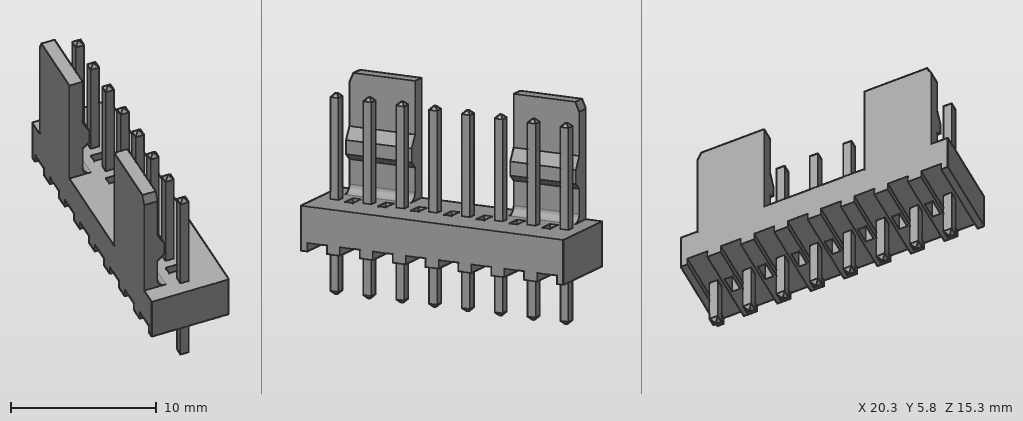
import cadquery as cq


BASE_LENGTH = 20.32
BASE_DEPTH = 5.8
BASE_HEIGHT = 3.2
CORNER_CHAMFER = 0.05
FRONT_Y = -BASE_DEPTH / 2

PIN_COUNT = 8
PITCH = BASE_LENGTH / PIN_COUNT
PIN_WIDTH = 0.63
PIN_TIP_WIDTH = 0.12
PIN_TIP_HEIGHT = 0.26
PIN_BOTTOM_Z = -3.58
PIN_TOP_Z = BASE_HEIGHT + 7.48

CHANNEL_WIDTH = 1.52
CHANNEL_HEIGHT = 0.6
SLOT_WIDTH = 0.6
SLOT_DEPTH = 1.2

LATCH_WIDTH = 2 * PITCH
LATCH_HEIGHT = 8.5
LATCH_THICKNESS = 1.0
LATCH_ROOT_RADIUS = 0.6
LATCH_CORNER_WIDTH = 0.3
LATCH_CORNER_HEIGHT = 0.67

RIDGE_DEPTH = 0.5
RIDGE_START = 2.35
RIDGE_CREST_START = 2.82
RIDGE_CREST_END = 3.82
RIDGE_END = 4.7

FIRST_PIN_X = -(PIN_COUNT - 1) * PITCH / 2
PIN_POSITIONS = [(FIRST_PIN_X + i * PITCH, 0) for i in range(PIN_COUNT)]
SLOT_POSITIONS = [(x + PITCH / 2, 0) for x, _ in PIN_POSITIONS[:-1]]


def make_base():
    """Block with chamfered upright edges, cross channels below and slots right through."""
    base = (
        cq.Workplane("XY")
        .box(BASE_LENGTH, BASE_DEPTH, BASE_HEIGHT, centered=(True, True, False))
        .edges("|Z")
        .chamfer(CORNER_CHAMFER)
    )
    channels = (
        cq.Workplane("XY")
        .pushPoints(PIN_POSITIONS)
        .rect(CHANNEL_WIDTH, BASE_DEPTH)
        .extrude(CHANNEL_HEIGHT)
    )
    slots = (
        cq.Workplane("XY")
        .pushPoints(SLOT_POSITIONS)
        .rect(SLOT_WIDTH, SLOT_DEPTH)
        .extrude(BASE_HEIGHT)
    )
    return base.cut(channels).cut(slots)


def make_latch():
    """Left latch wall with a snap ridge, a filleted root and a clipped outer top corner."""
    left_x = FIRST_PIN_X
    inner_y = FRONT_Y + LATCH_THICKNESS
    crest_y = inner_y + RIDGE_DEPTH
    base_top = BASE_HEIGHT
    latch_top = base_top + LATCH_HEIGHT

    wall = (
        cq.Workplane("YZ", origin=(left_x, 0, 0))
        .moveTo(FRONT_Y, base_top)
        .lineTo(inner_y + LATCH_ROOT_RADIUS, base_top)
        .radiusArc((inner_y, base_top + LATCH_ROOT_RADIUS), LATCH_ROOT_RADIUS)
        .lineTo(inner_y, base_top + RIDGE_START)
        .lineTo(crest_y, base_top + RIDGE_CREST_START)
        .lineTo(crest_y, base_top + RIDGE_CREST_END)
        .lineTo(inner_y, base_top + RIDGE_END)
        .lineTo(inner_y, latch_top)
        .lineTo(FRONT_Y, latch_top)
        .close()
        .extrude(LATCH_WIDTH)
    )
    clipped_corner = (
        cq.Workplane("XZ", origin=(0, FRONT_Y, 0))
        .moveTo(left_x, latch_top)
        .lineTo(left_x + LATCH_CORNER_WIDTH, latch_top)
        .lineTo(left_x, latch_top - LATCH_CORNER_HEIGHT)
        .close()
        .extrude(-LATCH_THICKNESS)
    )
    return wall.cut(clipped_corner)


def make_pin():
    """Square pin on the Z axis, tapered to a small flat at both ends."""
    lower_shoulder = PIN_BOTTOM_Z + PIN_TIP_HEIGHT
    upper_shoulder = PIN_TOP_Z - PIN_TIP_HEIGHT
    pin = (
        cq.Workplane("XY", origin=(0, 0, lower_shoulder))
        .rect(PIN_WIDTH, PIN_WIDTH)
        .extrude(upper_shoulder - lower_shoulder)
    )
    for shoulder, rise in ((lower_shoulder, -PIN_TIP_HEIGHT), (upper_shoulder, PIN_TIP_HEIGHT)):
        tip = (
            cq.Workplane("XY", origin=(0, 0, shoulder))
            .rect(PIN_WIDTH, PIN_WIDTH)
            .workplane(offset=rise)
            .rect(PIN_TIP_WIDTH, PIN_TIP_WIDTH)
            .loft(ruled=True)
        )
        pin = pin.union(tip)
    return pin


left_latch = make_latch()
right_latch = left_latch.mirror("YZ")
result = make_base().union(left_latch).union(right_latch)

pin = make_pin()
for x, y in PIN_POSITIONS:
    result = result.union(pin.translate((x, y, 0)))